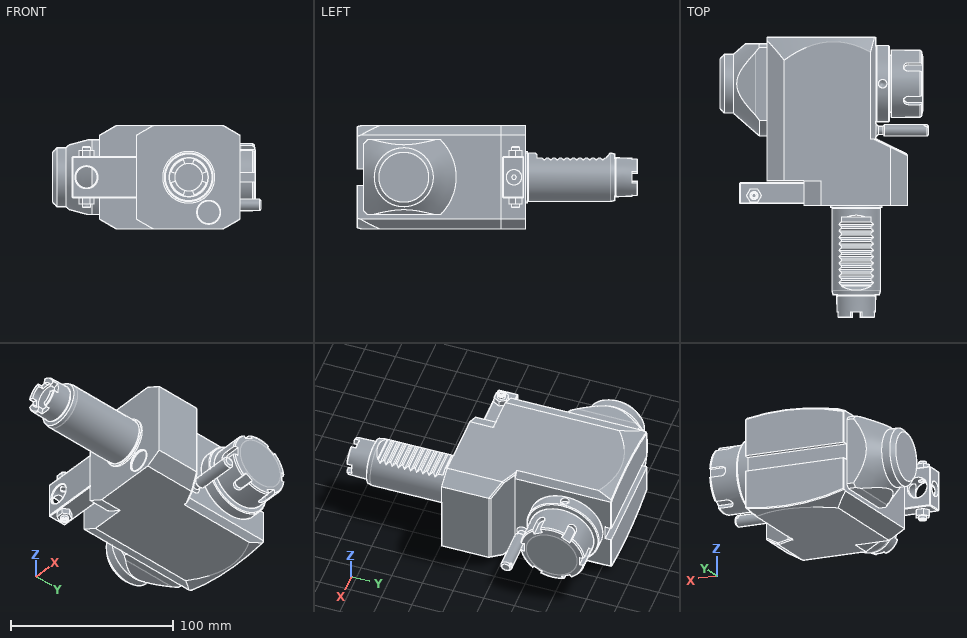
import cadquery as cq
import math


half_height = 32.0
head_left = -55.0
head_right = 12.2
head_back = 104.0
head_front = 15.2
flange_left = -32.2
flange_right = 31.7
bevel_angle = 30.0
head_right_bevel_angle = 50.0
bevel_width = 10.6
head_right_bevel_width = 3.4
shoulder_y = 41.2
shoulder_angle = 26.0
shoulder_edge_chamfer = 0.8
back_edge_chamfer = 0.5
back_slot_width = 10.0
back_slot_depth = 4.0
crown_center_x = -14.0
crown_radius = 145.0
crown_apex_y = 101.0
crown_taper = 15.5
port_x = 12.3
port_z = -21.6
port_radius = 7.4
port_depth = 1.0
port_chamfer = 0.4

shank_radius = 15.0
shank_length = 55.0
collar_radius = 16.0
collar_length = 1.1
relief_radius = 14.6
taper_end = 1.8
shank_end_taper_length = 2.6
shank_end_radius = 14.4
flat_z = 12.0
flat_start = 7.0
flat_lead_z = 13.9
flat_end = 49.6
flat_run_out = 2.5
tooth_pitch = 4.0
tooth_count = 10
first_groove = 11.5
groove_depth = 1.4
groove_width = 3.0

drive_end = 69.0
drive_radius = 12.1
drive_neck_radius = 11.4
drive_neck_length = 0.7
drive_tip_radius = 11.8
drive_tip_chamfer = 0.5
drive_bore_radius = 8.5
drive_bore_depth = 5.0
drive_slot_depth = 3.4
drive_slot_inner_width = 5.0
drive_slot_outer_width = 7.4

spindle_y = 75.1
boss_radius = 32.3
boss_cone_end = -59.6
boss_neck_start = -75.7
boss_neck_radius = 18.2
boss_end_chamfer = 2.8
boss_half_height = 23.1
boss_back = 99.8
boss_corner_chamfer = 2.4
boss_side_slope = 15.0
boss_slope_start = -62.1
ring_radius = 23.6
ring_end = 20.4
ring_chamfer = 0.6
nut_neck_radius = 17.6
nut_start = 21.3
nut_radius = 20.9
nut_back_chamfer = 0.5
nut_end = 41.1
nut_nose_length = 1.9
nut_nose_bend_x = 40.3
nut_nose_bend_radius = 20.3
nut_nose_radius = 16.6
nut_slot_count = 6
nut_slot_width = 6.0
nut_slot_start = 29.2
nut_slot_floor_radius = 18.0
ring_hole_x = 16.3
ring_hole_radius = 2.6
ring_hole_depth = 3.0
drill_point_angle = 118.0

pin_y = 46.4
pin_z = -17.0
pin_radius = 3.6
pin_neck_radius = 2.6
pin_neck_end = 16.6
pin_body_start = 17.4
pin_end = 44.63
pin_tip_chamfer = 1.0
pin_flare = 1.5
orifice_radius = 1.1
orifice_depth = 2.5

overall_x = 128.63
boss_end = pin_end - overall_x
arm_left = -71.9
arm_front = 1.2
arm_thickness = 13.0
arm_half_height = 12.7
arm_chamfer = 0.5
arm_bore_x = -63.0
arm_bore_radius = 7.1
arm_bore_chamfer = 0.5
arm_end_bore_radius = 4.75
arm_end_bore_y = 7.2
arm_end_bore_depth = 20.0
arm_key_flats = 2.5
arm_key_depth = 2.0
screw_y = 6.2
screw_radius = 2.5
screw_top = 18.8
screw_tip = 7.2
screw_chamfer = 0.5
screw_key_flats = 2.5
screw_key_depth = 1.5
locknut_flats = 8.0
locknut_height = 3.9


def box(x_range, y_range, z_range):
    """Axis-aligned block between pairs of limits."""
    sizes = [high - low for low, high in (x_range, y_range, z_range)]
    corner = (x_range[0], y_range[0], z_range[0])
    return cq.Workplane("XY").box(*sizes, centered=False).translate(corner)


def beveled_prism(left, right, front, back, right_bevel, right_angle):
    """Block along Y whose long side edges carry bevels; those on the right can differ."""
    left_drop = bevel_width * math.tan(math.radians(bevel_angle))
    right_drop = right_bevel * math.tan(math.radians(right_angle))
    top_half = [
        (left, half_height - left_drop),
        (left + bevel_width, half_height),
        (right - right_bevel, half_height),
        (right, half_height - right_drop),
    ]
    bottom_half = [(x, -z) for x, z in reversed(top_half)]
    section = cq.Workplane("XZ", origin=(0, front, 0)).polyline(top_half + bottom_half).close()
    return section.extrude(front - back)


def turned_along_x(profile, y, z):
    """Solid of revolution about a line parallel to X; profile holds (x, radius) points."""
    points = [(profile[0][0], 0)] + profile + [(profile[-1][0], 0)]
    return cq.Workplane("XY").polyline(points).close().revolve(360, (0, 0), (1, 0)).translate((0, y, z))


def turned_along_shank(profile):
    """Solid of revolution about the shank axis; profile holds (distance, radius) points."""
    outline = [(profile[0][0], 0)] + profile + [(profile[-1][0], 0)]
    points = [(radius, -distance) for distance, radius in outline]
    return cq.Workplane("XY").polyline(points).close().revolve(360, (0, 0), (0, 1))


def crown_cone(side):
    """Large cone about a Y axis that trims the back of the top (side 1) or bottom (side -1)."""
    slope = math.tan(math.radians(crown_taper))
    near_y = -10.0
    far_y = head_back + 10.0
    near_radius = crown_radius + (crown_apex_y - near_y) * slope
    far_radius = crown_radius + (crown_apex_y - far_y) * slope
    axis_z = side * (half_height - crown_radius)
    profile = [(0, near_y), (near_radius, near_y), (far_radius, far_y), (0, far_y)]
    cone = cq.Workplane("XY").polyline(profile).close().revolve(360, (0, 0), (0, 1))
    return cone.translate((crown_center_x, 0, axis_z))


def make_shoulder():
    """Flange block, cut off obliquely where it meets the right side of the head."""
    block = beveled_prism(flange_left, flange_right, 0, shoulder_y, bevel_width, bevel_angle)
    slope = math.tan(math.radians(shoulder_angle))
    slope_start_x = head_right - head_right_bevel_width
    slope_start_y = shoulder_y
    end_y = slope_start_y - (flange_right - head_right) * slope
    outline = [
        (flange_left, 0),
        (flange_right, 0),
        (flange_right, end_y),
        (head_right, slope_start_y),
        (slope_start_x, slope_start_y),
        (slope_start_x, head_front),
        (flange_left, head_front),
    ]
    keep = cq.Workplane("XY").polyline(outline).close().extrude(half_height, both=True)
    block = block.intersect(keep)
    middle = ((flange_right + head_right) / 2, (end_y + slope_start_y) / 2, 0)
    sloped_face = block.faces(cq.selectors.NearestToPointSelector(middle))
    return sloped_face.edges("not (|Z and <X)").chamfer(shoulder_edge_chamfer)


def make_housing():
    head = beveled_prism(
        head_left, head_right, head_front, head_back, head_right_bevel_width, head_right_bevel_angle
    )
    for side in (1, -1):
        head = head.intersect(crown_cone(side))
    head = head.faces(">Y").edges().chamfer(back_edge_chamfer)
    half_slot = back_slot_width / 2
    head = head.cut(
        box((head_left, head_right), (head_back - back_slot_depth, head_back), (-half_slot, half_slot))
    )
    port = cq.Workplane("XZ", origin=(port_x, 0, port_z)).circle(port_radius).extrude(-port_depth)
    port = port.faces(">Y").edges().chamfer(port_chamfer)
    return head.union(make_shoulder()).cut(port)


def make_shank():
    profile = [
        (0, collar_radius),
        (collar_length, collar_radius),
        (collar_length, relief_radius),
        (taper_end, shank_radius),
        (shank_length - shank_end_taper_length, shank_radius),
        (shank_length, shank_end_radius),
    ]
    shank = turned_along_shank(profile)

    clear_z = shank_radius + 1.0
    lead_in = clear_z - flat_lead_z
    run_out = flat_run_out * (clear_z - flat_z) / (shank_radius - flat_z)
    flat = [
        (-flat_start, flat_z),
        (-flat_start, flat_lead_z),
        (-flat_start + lead_in, clear_z),
        (-flat_end - run_out, clear_z),
        (-flat_end, flat_z),
    ]
    shank = shank.cut(cq.Workplane("YZ").polyline(flat).close().extrude(shank_radius, both=True))
    for index in range(tooth_count):
        y = -first_groove - index * tooth_pitch
        groove = [
            (y - groove_width / 2, flat_z),
            (y, flat_z - groove_depth),
            (y + groove_width / 2, flat_z),
        ]
        shank = shank.cut(
            cq.Workplane("YZ").polyline(groove).close().extrude(shank_radius, both=True)
        )
    return shank


def make_drive_nut():
    neck_end = shank_length + drive_neck_length
    profile = [
        (shank_length, drive_neck_radius),
        (neck_end, drive_neck_radius),
        (neck_end, drive_radius),
        (drive_end - drive_tip_chamfer, drive_tip_radius),
        (drive_end, drive_tip_radius - drive_tip_chamfer),
    ]
    nut = turned_along_shank(profile)
    end_plane = cq.Workplane("XZ", origin=(0, -drive_end, 0))
    nut = nut.cut(end_plane.circle(drive_bore_radius).extrude(-drive_bore_depth))
    spread = (drive_slot_outer_width - drive_slot_inner_width) / (drive_radius - drive_bore_radius) / 2
    inner = drive_bore_radius - 1.0
    outer = drive_radius + 1.0
    half_inner = drive_slot_inner_width / 2 - spread
    half_outer = drive_slot_outer_width / 2 + spread
    outline = [(inner, -half_inner), (outer, -half_outer), (outer, half_outer), (inner, half_inner)]
    slot = end_plane.polyline(outline).close().extrude(-drive_slot_depth)
    for quarter in range(4):
        nut = nut.cut(slot.rotate((0, 0, 0), (0, 1, 0), 90 * quarter))
    return nut


def make_boss():
    """Conical boss on the left of the head, flattened on top, bottom and back."""
    profile = [
        (boss_end, boss_neck_radius - boss_end_chamfer),
        (boss_end + boss_end_chamfer, boss_neck_radius),
        (boss_neck_start, boss_neck_radius),
        (boss_cone_end, boss_radius),
        (head_left, boss_radius),
    ]
    boss = turned_along_x(profile, spindle_y, 0)

    envelope = box(
        (boss_end, head_left),
        (spindle_y - boss_radius, boss_back),
        (-boss_half_height, boss_half_height),
    )
    envelope = envelope.edges("|X and >Y").chamfer(boss_corner_chamfer)
    boss = boss.intersect(envelope)

    drop = (boss_slope_start - boss_neck_start) * math.tan(math.radians(boss_side_slope))
    half_outline = [
        (boss_end, boss_half_height - drop),
        (boss_neck_start, boss_half_height - drop),
        (boss_slope_start, boss_half_height),
        (head_left, boss_half_height),
    ]
    mirrored = [(x, -z) for x, z in reversed(half_outline)]
    wedge = cq.Workplane("XZ", origin=(0, boss_back, 0)).polyline(half_outline + mirrored).close()
    return boss.intersect(wedge.extrude(2 * boss_radius))


def make_spindle():
    """Bearing ring and slotted collet nut on the right of the head."""
    profile = [
        (head_right, ring_radius - ring_chamfer),
        (head_right + ring_chamfer, ring_radius),
        (ring_end - ring_chamfer, ring_radius),
        (ring_end, ring_radius - ring_chamfer),
        (ring_end, nut_neck_radius),
        (nut_start, nut_neck_radius),
        (nut_start, nut_radius - nut_back_chamfer),
        (nut_start + nut_back_chamfer, nut_radius),
        (nut_end - nut_nose_length, nut_radius),
        (nut_nose_bend_x, nut_nose_bend_radius),
        (nut_end, nut_nose_radius),
    ]
    spindle = turned_along_x(profile, spindle_y, 0)

    half_slot = nut_slot_width / 2
    slot = (
        cq.Workplane("XY", origin=(0, spindle_y, nut_slot_floor_radius))
        .moveTo(nut_end, -half_slot)
        .lineTo(nut_slot_start + half_slot, -half_slot)
        .threePointArc((nut_slot_start, 0), (nut_slot_start + half_slot, half_slot))
        .lineTo(nut_end, half_slot)
        .close()
        .extrude(nut_radius)
    )
    step = 360 / nut_slot_count
    for index in range(nut_slot_count):
        angle = step * (index + 0.5)
        spindle = spindle.cut(slot.rotate((0, spindle_y, 0), (1, spindle_y, 0), angle))

    point_depth = ring_hole_radius / math.tan(math.radians(drill_point_angle / 2))
    hole_profile = [
        (0, ring_radius),
        (ring_hole_radius, ring_radius),
        (ring_hole_radius, ring_radius - ring_hole_depth),
        (0, ring_radius - ring_hole_depth - point_depth),
    ]
    hole = cq.Workplane("XZ").polyline(hole_profile).close().revolve(360, (0, 0), (0, 1))
    return spindle.cut(hole.translate((ring_hole_x, spindle_y, 0)))


def make_coolant_pin():
    profile = [
        (head_right, pin_neck_radius + pin_flare),
        (head_right + pin_flare, pin_neck_radius),
        (pin_neck_end, pin_neck_radius),
        (pin_body_start, pin_radius),
        (pin_end - pin_tip_chamfer, pin_radius),
        (pin_end, pin_radius - pin_tip_chamfer),
    ]
    pin = turned_along_x(profile, pin_y, pin_z)
    toward_spindle = cq.Vector(0, spindle_y - pin_y, -pin_z).normalized()
    tip_edge = cq.Vector(pin_end - pin_tip_chamfer, pin_y, pin_z) + toward_spindle * pin_radius
    inward = (cq.Vector(-1, 0, 0) - toward_spindle).normalized()
    start = tip_edge - inward * orifice_depth
    orifice = cq.Solid.makeCylinder(orifice_radius, 2 * orifice_depth, start, inward)
    return pin.cut(cq.Workplane(obj=orifice))


def make_clamp_screw():
    """Set screw and lock nut standing on the top of the arm."""
    corner_diameter = locknut_flats / math.cos(math.radians(30))
    base = cq.Workplane("XY", origin=(arm_bore_x, screw_y, arm_half_height))
    nut = base.polygon(6, corner_diameter).extrude(locknut_height)
    stud = base.circle(screw_radius).extrude(screw_top - arm_half_height)
    stud = stud.faces(">Z").edges().chamfer(screw_chamfer)
    key = (
        cq.Workplane("XY", origin=(arm_bore_x, screw_y, screw_top))
        .polygon(6, screw_key_flats / math.cos(math.radians(30)))
        .extrude(-screw_key_depth)
    )
    return nut.union(stud).cut(key)


def make_arm():
    arm_back = arm_front + arm_thickness
    arm = box(
        (arm_left, flange_left), (arm_front, arm_back), (-arm_half_height, arm_half_height)
    )
    arm = arm.edges("|X or <X").chamfer(arm_chamfer)
    cross_bore = (
        cq.Workplane("XZ", origin=(arm_bore_x, arm_back, 0))
        .circle(arm_bore_radius - arm_bore_chamfer)
        .extrude(arm_thickness)
    )
    mouth = cq.Solid.makeCone(
        arm_bore_radius,
        arm_bore_radius - arm_bore_chamfer,
        arm_bore_chamfer,
        cq.Vector(arm_bore_x, arm_front, 0),
        cq.Vector(0, 1, 0),
    )
    end_plane = cq.Workplane("YZ", origin=(arm_left, arm_end_bore_y, 0))
    end_bore = end_plane.circle(arm_end_bore_radius).extrude(arm_end_bore_depth)
    key = end_plane.polygon(6, arm_key_flats / math.cos(math.radians(30)))
    key = key.extrude(arm_end_bore_depth + arm_key_depth)
    screw_bore = (
        cq.Workplane("XY", origin=(arm_bore_x, screw_y, 0)).circle(screw_radius).extrude(screw_tip, both=True)
    )
    arm = arm.cut(cross_bore).cut(cq.Workplane(obj=mouth)).cut(end_bore).cut(key).cut(screw_bore)
    screw = make_clamp_screw()
    return arm.union(screw).union(screw.mirror("XY"))


result = make_housing()
for piece in (
    make_shank(),
    make_drive_nut(),
    make_boss(),
    make_spindle(),
    make_coolant_pin(),
    make_arm(),
):
    result = result.union(piece)